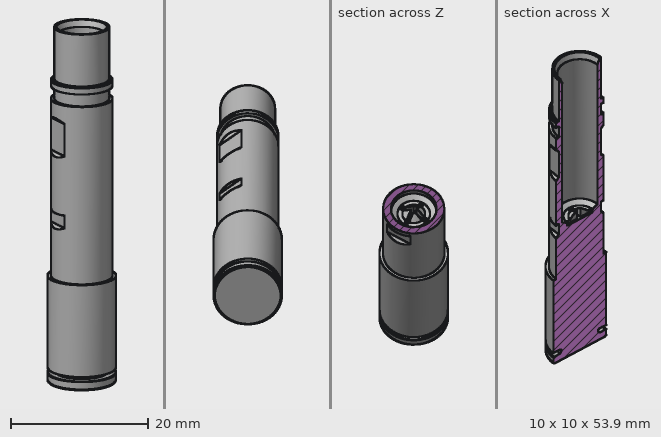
import cadquery as cq

total_height = 53.85
base_diameter = 10.0
body_diameter = 9.0
tube_diameter = 8.0

flange_top = 1.4
flange_bottom_chamfer = 0.2
flange_top_chamfer = 0.08
neck_diameter = 7.0
neck_bottom_flare = 0.2
neck_bottom_flare_height = 0.45
neck_top_flare = 0.15
base_bottom = 2.1
base_top = 16.05

body_top = 42.95
collar_bottom = 44.9
collar_top = 46.0
collar_chamfer = 0.15

flat_distance = tube_diameter
flat_depth = (body_diameter - flat_distance) / 2
upper_flat_bottom = 35.25
upper_flat_top = 40.15
lower_flat_bottom = 24.35
lower_flat_top = 26.2

mouth_diameter = 7.4
mouth_depth = 0.95
bore_diameter = 6.55
funnel_top = lower_flat_top
funnel_height = 0.55
funnel_floor = funnel_top - funnel_height
core_diameter = 4.75

cone_diameter = 3.35
cone_height = 1.6
slot_width_in_y = 0.65
slot_width_in_x = 0.5
slot_depth = 0.55


def revolve_about_z(outline):
    """Turn a closed (radius, height) outline about the Z axis."""
    return cq.Workplane("XZ").polyline(outline).close().revolve(360, (0, 0), (0, 1))


def make_outer_body():
    base_radius = base_diameter / 2
    body_radius = body_diameter / 2
    tube_radius = tube_diameter / 2
    neck_radius = neck_diameter / 2
    outline = [
        (0, 0),
        (base_radius - flange_bottom_chamfer, 0),
        (base_radius, flange_bottom_chamfer),
        (base_radius, flange_top - flange_top_chamfer),
        (base_radius - flange_top_chamfer, flange_top),
        (neck_radius + neck_bottom_flare, flange_top),
        (neck_radius, flange_top + neck_bottom_flare_height),
        (neck_radius, base_bottom - neck_top_flare),
        (neck_radius + neck_top_flare, base_bottom),
        (base_radius, base_bottom),
        (base_radius, base_top),
        (body_radius, base_top),
        (body_radius, body_top),
        (tube_radius, body_top),
        (tube_radius, collar_bottom),
        (body_radius, collar_bottom),
        (body_radius, collar_top - collar_chamfer),
        (body_radius - collar_chamfer, collar_top),
        (tube_radius, collar_top),
        (tube_radius, total_height),
        (0, total_height),
    ]
    return revolve_about_z(outline)


def make_bore():
    outline = [
        (0, funnel_floor),
        (core_diameter / 2, funnel_floor),
        (bore_diameter / 2, funnel_top),
        (bore_diameter / 2, total_height - mouth_depth),
        (mouth_diameter / 2, total_height),
        (0, total_height),
    ]
    return revolve_about_z(outline)


def make_cone():
    outline = [
        (0, funnel_floor - slot_depth),
        (cone_diameter / 2, funnel_floor - slot_depth),
        (cone_diameter / 2, funnel_floor),
        (0, funnel_floor + cone_height),
    ]
    return revolve_about_z(outline)


def make_crossed_slots():
    slot_floor = funnel_floor - slot_depth
    slot_height = slot_depth + cone_height
    start = cq.Workplane("XY").workplane(offset=slot_floor)
    slots = start.rect(core_diameter, slot_width_in_y).extrude(slot_height)
    slots = slots.union(start.rect(slot_width_in_x, core_diameter).extrude(slot_height))
    core = start.circle(core_diameter / 2).extrude(slot_height)
    return slots.intersect(core)


def make_flat_pair(bottom, top, top_runout):
    """Cutters for two opposite flats; top_runout is the height of the slope above each flat."""
    inner = flat_distance / 2
    outer = inner + flat_depth
    beyond = base_diameter
    profile = [
        (inner, bottom),
        (outer, bottom - flat_depth),
        (beyond, bottom - flat_depth),
        (beyond, top + top_runout),
        (outer, top + top_runout),
        (inner, top),
    ]
    cutter = cq.Workplane("YZ").polyline(profile).close().extrude(body_diameter / 2, both=True)
    return cutter.union(cutter.mirror("XZ"))


result = make_outer_body()
result = result.cut(make_bore())
result = result.union(make_cone())
result = result.cut(make_crossed_slots())
result = result.cut(make_flat_pair(upper_flat_bottom, upper_flat_top, flat_depth))
result = result.cut(make_flat_pair(lower_flat_bottom, lower_flat_top, 0))